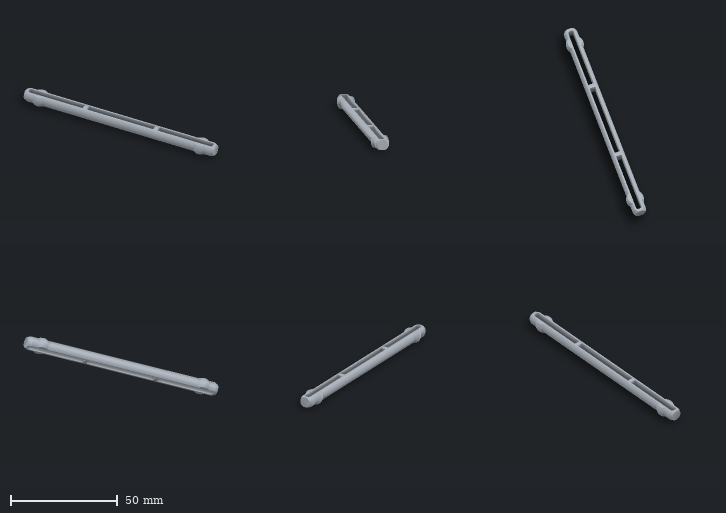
import cadquery as cq

length = 100.0
thickness = 5.0
rod_radius = 3.3
end_radius = 2.6
end_taper_length = 1.6

bulge_radius = 4.25
bulge_offset = 42.4

slot_width = 2.8
slot_length = 97.2
slot_corner_radius = 0.8

bar_width = 2.0
bar_offset = 18.6


def make_rod():
    """Round rod along X with both ends tapered."""
    half = length / 2
    taper_start = half - end_taper_length
    return (
        cq.Workplane("XY")
        .moveTo(-half, 0)
        .lineTo(-half, end_radius)
        .lineTo(-taper_start, rod_radius)
        .lineTo(taper_start, rod_radius)
        .lineTo(half, end_radius)
        .lineTo(half, 0)
        .close()
        .revolve(360, (0, 0, 0), (1, 0, 0))
    )


def make_slot():
    """Long slot with rounded corners, interrupted by the cross bars."""
    slot = (
        cq.Workplane("XY")
        .box(slot_length, slot_width, thickness)
        .edges("|Z")
        .fillet(slot_corner_radius)
    )
    for side in (-1, 1):
        bar = cq.Workplane("XY").box(bar_width, slot_width, thickness)
        slot = slot.cut(bar.translate((side * bar_offset, 0, 0)))
    return slot


body = make_rod()
for side in (-1, 1):
    bulge = cq.Workplane("XY").sphere(bulge_radius)
    body = body.union(bulge.translate((side * bulge_offset, 0, 0)))

flats = cq.Workplane("XY").box(length, 2 * bulge_radius, thickness)

result = body.intersect(flats).cut(make_slot())